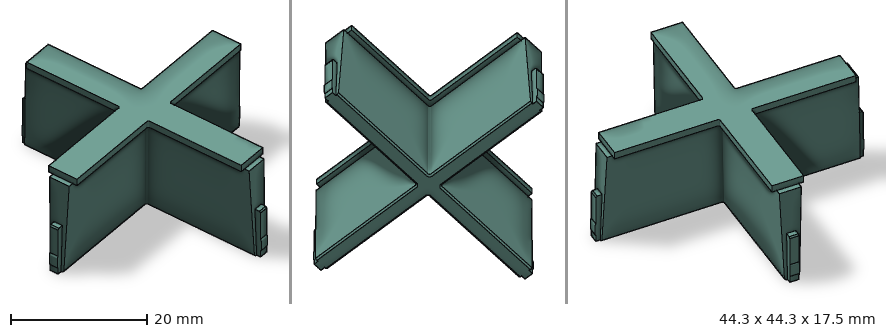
import cadquery as cq
import math

overall_length = 44.3
overall_height = 17.5

cap_length = 39.7
cap_width = 5.25
cap_thickness = 1.2

blade_height = overall_height - cap_thickness
blade_top_width = 3.65
blade_top_length = 41.4
draft_angle = 2.0
draft = blade_height * math.tan(math.radians(draft_angle))
blade_bottom_width = blade_top_width - 2 * draft
blade_bottom_length = blade_top_length + 2 * draft
bottom_chamfer = 0.25

corner_radius = 0.3

rib_width = 1.5
rib_height = 8.55
rib_chamfer = 0.2
bump_height = 0.15
bump_bottom = 1.1
bump_top = 3.35
bump_lower_ramp = 0.25
bump_upper_ramp = 0.35
bump_radius = 0.2
rib_reach = overall_length / 2 - bump_height

arm_angles = (0, 90, 180, 270)

selection_margin = 0.05


def cross(bar):
    """Join a bar along X with a copy turned to lie along Y."""
    return bar.union(bar.rotate((0, 0, 0), (0, 0, 1), 90))


def round_inner_corners(body, bar_width):
    """Fillet the upright edges where the bars of a cross meet."""
    reach = bar_width / 2 + selection_margin
    crossing = cq.selectors.BoxSelector((-reach, -reach, 0), (reach, reach, overall_height))
    return body.edges("not #Z").edges(crossing).fillet(corner_radius)


def make_cap():
    bar = cq.Workplane("XY").box(cap_length, cap_width, cap_thickness, centered=(True, True, False))
    plate = cross(bar.translate((0, 0, blade_height)))
    return round_inner_corners(plate, cap_width)


def trapezoid_prism(plane, bottom_width, top_width, length):
    """Prism with a symmetric trapezoid section of the blade height."""
    return (
        cq.Workplane(plane)
        .polyline([
            (-bottom_width / 2, 0),
            (bottom_width / 2, 0),
            (top_width / 2, blade_height),
            (-top_width / 2, blade_height),
        ])
        .close()
        .extrude(length / 2, both=True)
    )


def make_blades():
    section = trapezoid_prism("YZ", blade_bottom_width, blade_top_width, overall_length)
    outline = trapezoid_prism("XZ", blade_bottom_length, blade_top_length, overall_length)
    blades = round_inner_corners(cross(section.intersect(outline)), blade_top_width)
    bottom_edges = blades.faces("<Z").edges("not (<X or >X or <Y or >Y)")
    return bottom_edges.chamfer(bottom_chamfer)


def make_rib():
    """Rib on the +X blade end, rooted inside the blade."""
    root = cap_length / 2
    tip = overall_length / 2
    profile = [
        (root, 0),
        (rib_reach, 0),
        (rib_reach, bump_bottom),
        (tip, bump_bottom + bump_lower_ramp),
        (tip, bump_top - bump_upper_ramp),
        (rib_reach, bump_top),
        (rib_reach, rib_height - rib_chamfer),
        (rib_reach - rib_chamfer, rib_height),
        (root, rib_height),
    ]
    rib = cq.Workplane("XZ").polyline(profile).close().extrude(rib_width / 2, both=True)
    return rib.faces(">X").edges("|Y").fillet(bump_radius)


result = make_cap().union(make_blades())
for angle in arm_angles:
    result = result.union(make_rib().rotate((0, 0, 0), (0, 0, 1), angle))